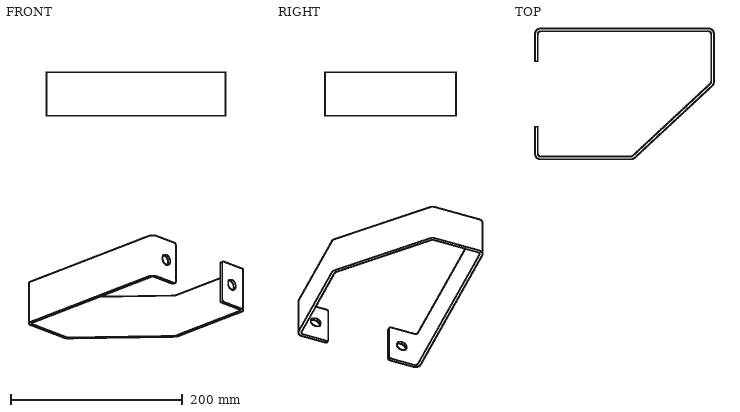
import cadquery as cq

length = 208.3
depth = 152.5
height = 50.8

thickness = 3.5
outer_bend_radius = 6.7

front_wall_length = 114.1
side_wall_start = 87.5

flange_length = 38.3
flange_corner_radius = 2.7
hole_diameter = 12.5
hole_inset = (outer_bend_radius + flange_length) / 2


def closed_band():
    """Strip running all the way round the five-sided outline."""
    block = (
        cq.Workplane("XY")
        .polyline([
            (0, 0),
            (front_wall_length, 0),
            (length, side_wall_start),
            (length, depth),
            (0, depth),
        ])
        .close()
        .extrude(height)
        .edges("|Z")
        .fillet(outer_bend_radius)
    )
    return block.faces(">Z").wires().toPending().offset2D(-thickness).cutThruAll()


def flange_gap():
    """Opening between the flanges."""
    gap_width = depth - 2 * flange_length
    gap = cq.Workplane("XY").box(thickness, gap_width, height)
    return gap.translate((thickness / 2, depth / 2, height / 2))


def flange_holes():
    """Cutters for one hole in the middle of each flange."""
    return (
        cq.Workplane("YZ")
        .pushPoints([(hole_inset, height / 2), (depth - hole_inset, height / 2)])
        .circle(hole_diameter / 2)
        .extrude(thickness)
    )


strip = closed_band().cut(flange_gap())

free_corners = strip.edges("|X").edges(
    cq.selectors.BoxSelector(
        (-thickness, flange_length - thickness, -thickness),
        (2 * thickness, depth - flange_length + thickness, height + thickness),
    )
)
strip = free_corners.fillet(flange_corner_radius)

result = strip.cut(flange_holes())